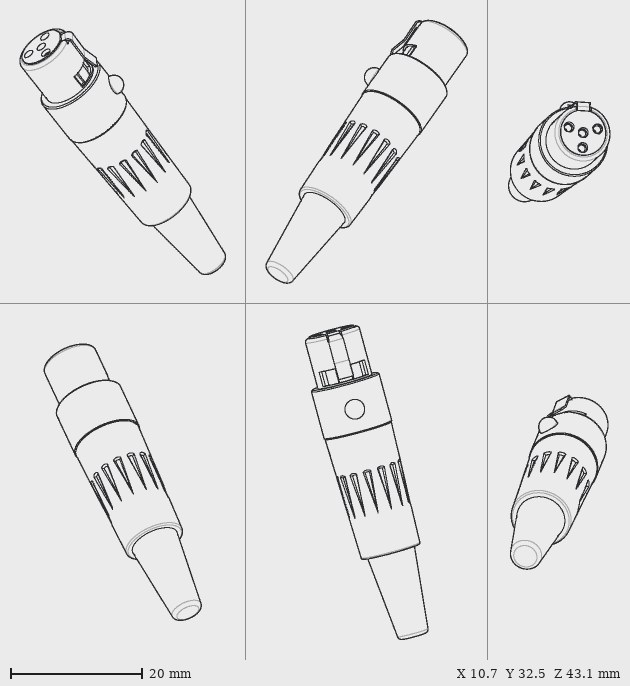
import cadquery as cq
import math


TILT = 34.7
ROLL = -18.0

COLLAR_R = 10.7 / 2
COLLAR_LENGTH = 7.6
COLLAR_CHAMFER = 0.2
BARREL_R = 8.55 / 2
BARREL_LENGTH = 7.75
RIM_FILLET = 0.5
BORE_R = 7.9 / 2
LIP_Z = 6.8
WINDOW_BOTTOM = 0.25
WINDOW_TOP = 2.55
WINDOW_HALF_ANGLE = 57.0

NOSE_R = 7.0 / 2
INSERT_PROUD = 0.2
INSERT_FACE = BARREL_LENGTH + INSERT_PROUD
RIB_START = 17.5
RIB_END = 43.0
CONTACT_R = 1.5 / 2
CONTACT_BORE_R = 0.55
CONTACT_BORE_DEPTH = 3.45
CONTACT_CIRCLE_R = 2.32
CONTACT_STEP = 72.0
CONTACT_RECESS = 1.05
FIRST_CONTACT_RECESS = 0.6
CONTACT_HOLE_DEPTH = 8.6

LATCH_WIDTH = 2.32
LATCH_TIP_WIDTH = 1.85
LATCH_THICKNESS = 0.25
LATCH_TAIL_Z = 0.85
LATCH_TAIL_R = 5.45
LATCH_KNEE_Z = 3.35
LATCH_KNEE_R = 4.82
LATCH_BEND_Z = 6.75
LATCH_BEND_R = 4.9
LATCH_TOP_Z = 7.58
LATCH_FLAT_R = math.sqrt(NOSE_R**2 - (LATCH_TIP_WIDTH / 2) ** 2)

BUTTON_R = 1.5
BUTTON_Z = -4.15

SLEEVE_LENGTH = 19.35
SLEEVE_FRONT_R = 10.5 / 2
SLEEVE_FRONT_CHAMFER = 0.17
SLEEVE_REAR_R = 9.3 / 2
SLEEVE_REAR_FACE_R = 8.8 / 2
SLEEVE_FILLET = SLEEVE_REAR_R - SLEEVE_REAR_FACE_R
SLEEVE_FRONT_Z = -COLLAR_LENGTH
SLEEVE_REAR_Z = SLEEVE_FRONT_Z - SLEEVE_LENGTH
GROOVE_COUNT = 14
GROOVE_FRONT_Z = -13.9
GROOVE_LENGTH = 6.2
GROOVE_HALF_WIDTH = 0.35
GROOVE_FLOOR_R = 4.75
GROOVE_FLARE = 0.9
GROOVE_TIP_FLARE = 2.6
GROOVE_FRONT_BULGE = 0.3
GROOVE_TOOL_HEIGHT = 0.85

BOOT_LENGTH = 13.4
BOOT_ENTRY_R = 7.45 / 2
BOOT_END_R = 4.75 / 2
BOOT_END_FACE_R = 3.5 / 2
BOOT_FILLET = BOOT_END_R - BOOT_END_FACE_R
BOOT_INSERTION = 2.15
BOOT_END_Z = SLEEVE_REAR_Z - BOOT_LENGTH


def place(body):
    rolled = body.rotate((0, 0, 0), (0, 0, 1), ROLL)
    return rolled.rotate((0, 0, 0), (1, 0, 0), TILT)


def cylinder(radius, bottom, top):
    return cq.Workplane("XY").workplane(offset=bottom).circle(radius).extrude(top - bottom)


def cylinder_on_y(radius, outer_r):
    return cq.Workplane("XZ", origin=(0, 0, BUTTON_Z)).circle(radius).extrude(-outer_r)


def box_on_y(width, inner_y, outer_y, bottom, top):
    box = cq.Workplane("XY").box(width, outer_y - inner_y, top - bottom, centered=(True, False, False))
    return box.translate((0, inner_y, bottom))


def make_shell():
    collar = cylinder(COLLAR_R, -COLLAR_LENGTH, 0).faces(">Z").chamfer(COLLAR_CHAMFER)
    barrel = cylinder(BARREL_R, 0, BARREL_LENGTH).faces(">Z").edges().fillet(RIM_FILLET)
    shell = collar.union(barrel).cut(make_insert_blank())
    shell = shell.cut(make_window()).cut(make_latch_notch(BARREL_R))
    return shell.cut(cylinder_on_y(BUTTON_R, COLLAR_R + BUTTON_R))


def make_window():
    """Flat-bottomed cut across the latch side of the barrel."""
    chord_r = BARREL_R * math.cos(math.radians(WINDOW_HALF_ANGLE))
    return box_on_y(2 * BARREL_R, chord_r, BARREL_R, WINDOW_BOTTOM, WINDOW_TOP)


def make_latch_notch(outer_r):
    """Slot through the barrel's lip and the insert's nose that lets the latch tip in."""
    return box_on_y(LATCH_WIDTH, LATCH_FLAT_R, outer_r, LIP_Z, INSERT_FACE)


def make_button():
    stem = cylinder_on_y(BUTTON_R, COLLAR_R)
    dome = cq.Workplane("XY").sphere(BUTTON_R).translate((0, COLLAR_R, BUTTON_Z))
    return stem.union(dome).cut(cylinder(BORE_R, -COLLAR_LENGTH, 0))


def contact_places():
    """Axis point and recess below the insert face of each contact."""
    def on_circle(steps):
        angle = math.radians(90 + steps * CONTACT_STEP)
        return CONTACT_CIRCLE_R * math.cos(angle), CONTACT_CIRCLE_R * math.sin(angle)

    return [
        (on_circle(-1), FIRST_CONTACT_RECESS),
        (on_circle(2.5), CONTACT_RECESS),
        (on_circle(1), CONTACT_RECESS),
        ((0, 0), CONTACT_RECESS),
    ]


def make_insert_blank():
    """Body that fills the bore, and the narrower nose that comes out of the barrel."""
    return cylinder(BORE_R, -COLLAR_LENGTH, LIP_Z).union(cylinder(NOSE_R, LIP_Z, INSERT_FACE))


def make_guide_rib(side):
    """Sector left standing as a rib across the insert's waist, on one side (+1 or -1) of the latch."""
    def rim_point(angle):
        turn = math.radians(90 + side * angle)
        return BORE_R * math.cos(turn), BORE_R * math.sin(turn)

    sector = cq.Workplane("XY").workplane(offset=WINDOW_BOTTOM).moveTo(*rim_point(RIB_START))
    sector = sector.threePointArc(rim_point((RIB_START + RIB_END) / 2), rim_point(RIB_END)).lineTo(0, 0).close()
    return sector.extrude(WINDOW_TOP - WINDOW_BOTTOM)


def make_insert():
    waist = cylinder(BORE_R, WINDOW_BOTTOM, WINDOW_TOP).cut(cylinder(NOSE_R, WINDOW_BOTTOM, WINDOW_TOP))
    for side in (1, -1):
        waist = waist.cut(make_guide_rib(side))
    insert = make_insert_blank().cut(waist)
    hole = cylinder(CONTACT_R, INSERT_FACE - CONTACT_HOLE_DEPTH, INSERT_FACE)
    for (x, y), _ in contact_places():
        insert = insert.cut(hole.translate((x, y, 0)))
    return insert.cut(make_latch_notch(NOSE_R))


def make_contact(x, y, recess):
    top = INSERT_FACE - recess
    tube = cylinder(CONTACT_R, INSERT_FACE - CONTACT_HOLE_DEPTH, top)
    return tube.cut(cylinder(CONTACT_BORE_R, top - CONTACT_BORE_DEPTH, top)).translate((x, y, 0))


def make_latch():
    bend = LATCH_TOP_Z - LATCH_BEND_Z
    inner_bend = bend - LATCH_THICKNESS
    diagonal = math.sqrt(0.5)
    centre_r = LATCH_BEND_R - bend
    strip = (
        cq.Workplane("YZ")
        .moveTo(LATCH_TAIL_R, LATCH_TAIL_Z)
        .lineTo(LATCH_KNEE_R, LATCH_KNEE_Z)
        .lineTo(LATCH_BEND_R, LATCH_BEND_Z)
        .threePointArc(
            (centre_r + bend * diagonal, LATCH_BEND_Z + bend * diagonal),
            (centre_r, LATCH_TOP_Z),
        )
        .lineTo(LATCH_FLAT_R, LATCH_TOP_Z)
        .lineTo(LATCH_FLAT_R, LATCH_TOP_Z - LATCH_THICKNESS)
        .lineTo(centre_r, LATCH_TOP_Z - LATCH_THICKNESS)
        .threePointArc(
            (centre_r + inner_bend * diagonal, LATCH_BEND_Z + inner_bend * diagonal),
            (LATCH_BEND_R - LATCH_THICKNESS, LATCH_BEND_Z),
        )
        .lineTo(LATCH_KNEE_R - LATCH_THICKNESS, LATCH_KNEE_Z)
        .lineTo(LATCH_TAIL_R - LATCH_THICKNESS, LATCH_TAIL_Z)
        .close()
        .extrude(LATCH_WIDTH / 2, both=True)
    )
    half = LATCH_WIDTH / 2
    tip_half = LATCH_TIP_WIDTH / 2
    outline = (
        cq.Workplane("XZ")
        .polyline([
            (-half, LATCH_TAIL_Z), (half, LATCH_TAIL_Z), (half, LATCH_BEND_Z),
            (tip_half, LATCH_TOP_Z), (-tip_half, LATCH_TOP_Z), (-half, LATCH_BEND_Z),
        ])
        .close()
        .extrude(-LATCH_TAIL_R)
    )
    return strip.intersect(outline)


def make_groove():
    """Dart-shaped cutter with sloping sides: an arched front and a tip towards the boot."""
    def outline(height):
        half = GROOVE_HALF_WIDTH + GROOVE_FLARE * height
        front = GROOVE_FRONT_Z + GROOVE_FLARE * height - GROOVE_FRONT_BULGE * half
        y = GROOVE_FLOOR_R + height
        left = cq.Vector(-half, y, front)
        right = cq.Vector(half, y, front)
        crown = cq.Vector(0, y, front + GROOVE_FRONT_BULGE * half)
        tip = cq.Vector(0, y, GROOVE_FRONT_Z - GROOVE_LENGTH - GROOVE_TIP_FLARE * height)
        return cq.Wire.assembleEdges([
            cq.Edge.makeThreePointArc(left, crown, right),
            cq.Edge.makeLine(right, tip),
            cq.Edge.makeLine(tip, left),
        ])

    return cq.Workplane(cq.Solid.makeLoft([outline(0), outline(GROOVE_TOOL_HEIGHT)], True))


def make_sleeve():
    sleeve = (
        cq.Workplane("XZ")
        .polyline([
            (0, SLEEVE_FRONT_Z), (SLEEVE_FRONT_R, SLEEVE_FRONT_Z),
            (SLEEVE_REAR_R, SLEEVE_REAR_Z), (0, SLEEVE_REAR_Z),
        ])
        .close()
        .revolve()
    )
    sleeve = sleeve.faces("<Z").edges().fillet(SLEEVE_FILLET)
    sleeve = sleeve.faces(">Z").chamfer(SLEEVE_FRONT_CHAMFER)
    groove = make_groove()
    for i in range(GROOVE_COUNT):
        angle = i * 360 / GROOVE_COUNT - ROLL
        sleeve = sleeve.cut(groove.rotate((0, 0, 0), (0, 0, 1), angle))
    return sleeve.cut(make_boot())


def make_boot():
    taper = (BOOT_ENTRY_R - BOOT_END_R) / BOOT_LENGTH
    top_r = BOOT_ENTRY_R + taper * BOOT_INSERTION
    top_z = SLEEVE_REAR_Z + BOOT_INSERTION
    boot = (
        cq.Workplane("XZ")
        .polyline([(0, top_z), (top_r, top_z), (BOOT_END_R, BOOT_END_Z), (0, BOOT_END_Z)])
        .close()
        .revolve()
    )
    return boot.faces("<Z").edges().fillet(BOOT_FILLET)


shell = place(make_shell())
insert = place(make_insert())
contacts = [place(make_contact(x, y, recess)) for (x, y), recess in contact_places()]
latch = place(make_latch())
button = place(make_button())
sleeve = place(make_sleeve())
boot = place(make_boot())

result = cq.Compound.makeCompound([
    shell.val(),
    insert.val(),
    *[contact.val() for contact in contacts],
    latch.val(),
    button.val(),
    sleeve.val(),
    boot.val(),
])